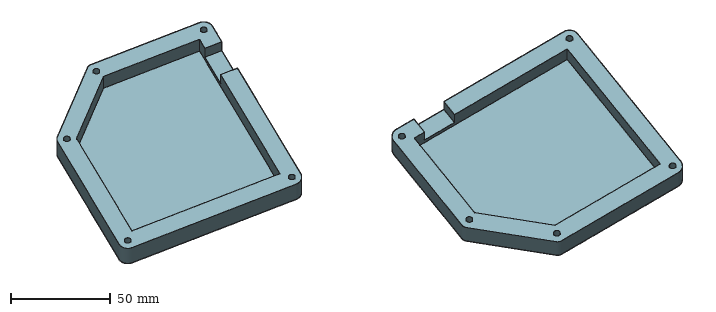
import cadquery as cq
import math

LENGTH_X = 112.68
LENGTH_Y = 101.96
HEIGHT = 13.0
CORNER_RADIUS = 5.0
CLIPPED_CORNER_RADIUS = 3.5

HOLE_DIAMETER = 3.4
HOLE_INSET = 5.0
DIAGONAL_HOLE_STEP = 31.8

WALL = 9.5
FLOOR = 3.0

NOTCH_WIDTH = 18.3
NOTCH_START = 15.8
NOTCH_DEPTH = 7.5

LEFT = -LENGTH_X / 2
RIGHT = LENGTH_X / 2
FRONT = -LENGTH_Y / 2
REAR = LENGTH_Y / 2

CLIP_LEG = DIAGONAL_HOLE_STEP + 2 * HOLE_INSET - math.sqrt(2) * HOLE_INSET


def clipped_rectangle(inset):
    """Body outline moved inwards by inset, with the front left corner cut at 45 degrees."""
    left = LEFT + inset
    right = RIGHT - inset
    front = FRONT + inset
    rear = REAR - inset
    leg = CLIP_LEG - (2 - math.sqrt(2)) * inset
    points = [
        (left + leg, front),
        (right, front),
        (right, rear),
        (left, rear),
        (left, front + leg),
    ]
    return cq.Workplane("XY").polyline(points).close()


def make_body():
    body = clipped_rectangle(0).extrude(HEIGHT)
    square_corners = [(RIGHT, FRONT), (RIGHT, REAR), (LEFT, REAR)]
    clipped_corners = [(LEFT + CLIP_LEG, FRONT), (LEFT, FRONT + CLIP_LEG)]
    body = round_corners(body, square_corners, CORNER_RADIUS)
    return round_corners(body, clipped_corners, CLIPPED_CORNER_RADIUS)


def round_corners(body, corners, radius):
    """Fillet the vertical edges that stand at the given corners."""
    for x, y in corners:
        edge = body.edges("|Z").edges(cq.NearestToPointSelector((x, y, HEIGHT / 2)))
        body = edge.fillet(radius)
    return body


def make_pocket():
    return clipped_rectangle(WALL).extrude(HEIGHT - FLOOR).translate((0, 0, FLOOR))


def make_notch():
    notch = cq.Workplane("XY").box(NOTCH_WIDTH, WALL, NOTCH_DEPTH, centered=False)
    return notch.translate((LEFT + NOTCH_START, REAR - WALL, HEIGHT - NOTCH_DEPTH))


def make_holes():
    left = LEFT + HOLE_INSET
    right = RIGHT - HOLE_INSET
    front = FRONT + HOLE_INSET
    rear = REAR - HOLE_INSET
    centers = [
        (left + DIAGONAL_HOLE_STEP, front),
        (right, front),
        (right, rear),
        (left, rear),
        (left, front + DIAGONAL_HOLE_STEP),
    ]
    return cq.Workplane("XY").pushPoints(centers).circle(HOLE_DIAMETER / 2).extrude(HEIGHT)


result = make_body().cut(make_pocket()).cut(make_notch()).cut(make_holes())